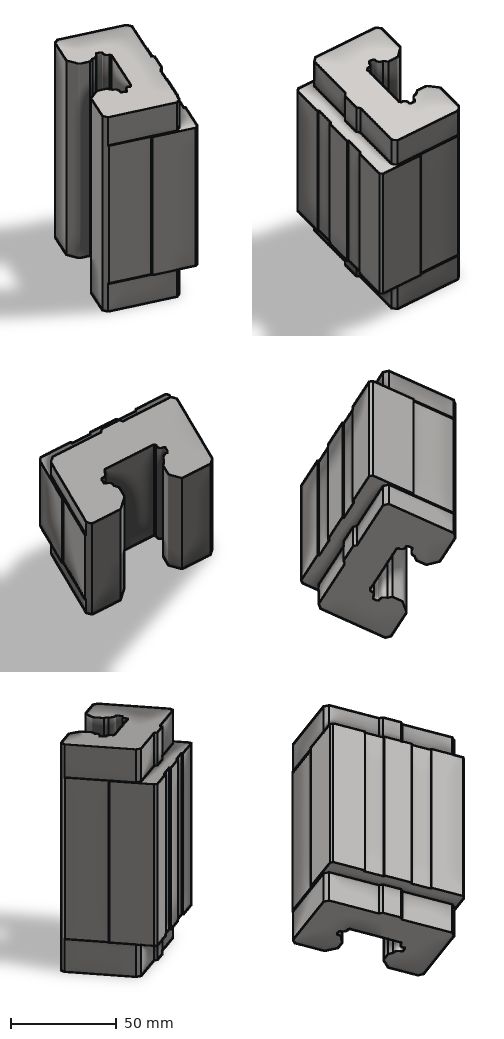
import cadquery as cq

total_length = 112.7
total_width = 70.0
total_height = 47.5

body_length = 80.0
lower_body_width = 69.0
body_step_height = 23.8
top_chamfer_across = 1.1
top_chamfer_down = 1.4

groove_width = 10.1
groove_depth = 0.8
groove_offset = 12.3

cap_width = 68.1
cap_height = 39.0
cap_chamfer = 2.0
bottom_flat_half_width = cap_width / 2 - cap_chamfer
cap_bump_height = 1.4
cap_bump_half_width = 4.7

neck_half_width = 13.9
roof_height = 21.5
roof_chamfer = 0.7
slot_half_width = 17.1
slot_top = 18.1
slot_bottom = 14.9
slot_corner_radius = 0.7
upper_bulge_radius = 2.3
lower_bulge_half_width = 13.5
lower_bulge_radius = 2.8
lip_half_width = 11.8
lip_top = 10.1
lip_bottom = 4.7
lip_radius = 1.4
mouth_half_width = 16.6


def mirrored(right_side):
    """Close a symmetric outline from the points of its +X half."""
    left_side = [(-x, y) for x, y in reversed(right_side)]
    return cq.Workplane("XY").polyline(right_side + left_side).close()


def make_body():
    half_width = total_width / 2
    lower_half_width = lower_body_width / 2
    outline = mirrored([
        (bottom_flat_half_width, 0),
        (lower_half_width, lower_half_width - bottom_flat_half_width),
        (lower_half_width, body_step_height),
        (half_width, body_step_height + half_width - lower_half_width),
        (half_width, total_height - top_chamfer_down),
        (half_width - top_chamfer_across, total_height),
    ])
    body = outline.extrude(body_length / 2, both=True)
    grooves = (
        cq.Workplane("XY")
        .pushPoints([(-groove_offset, total_height), (groove_offset, total_height)])
        .rect(groove_width, 2 * groove_depth)
        .extrude(body_length / 2, both=True)
    )
    return body.cut(grooves)


def make_caps():
    """One bar over the whole length; its two ends stand out of the body as end caps."""
    half_width = cap_width / 2
    outline = mirrored([
        (bottom_flat_half_width, 0),
        (half_width, cap_chamfer),
        (half_width, cap_height - cap_chamfer),
        (half_width - cap_chamfer, cap_height),
        (cap_bump_half_width + cap_bump_height, cap_height),
        (cap_bump_half_width, cap_height + cap_bump_height),
    ])
    return outline.extrude(total_length / 2, both=True)


def round_edge(solid, x, y, radius):
    """Fillet the lengthwise edge that passes through (x, y)."""
    return solid.edges(cq.selectors.NearestToPointSelector((x, y, 0))).fillet(radius)


def make_channel_half():
    """+X half of the rail channel, with two bulges that follow the rail's ball grooves."""
    half = (
        cq.Workplane("XY")
        .moveTo(0, roof_height)
        .lineTo(neck_half_width - roof_chamfer, roof_height)
        .lineTo(neck_half_width, roof_height - roof_chamfer)
        .lineTo(neck_half_width, slot_top + upper_bulge_radius)
        .radiusArc((neck_half_width + upper_bulge_radius, slot_top), -upper_bulge_radius)
        .lineTo(slot_half_width, slot_top)
        .lineTo(slot_half_width, slot_bottom)
        .lineTo(lower_bulge_half_width + lower_bulge_radius, slot_bottom)
        .radiusArc((lower_bulge_half_width, slot_bottom - lower_bulge_radius), -lower_bulge_radius)
        .lineTo(lip_half_width, lip_top)
        .lineTo(lip_half_width, lip_bottom)
        .lineTo(mouth_half_width, 0)
        .lineTo(0, 0)
        .close()
        .extrude(total_length / 2, both=True)
    )
    for y in (slot_bottom, slot_top):
        half = round_edge(half, slot_half_width, y, slot_corner_radius)
    return round_edge(half, lip_half_width, lip_bottom, lip_radius)


channel_half = make_channel_half()
channel = channel_half.union(channel_half.mirror("YZ"))
result = make_body().union(make_caps()).cut(channel)